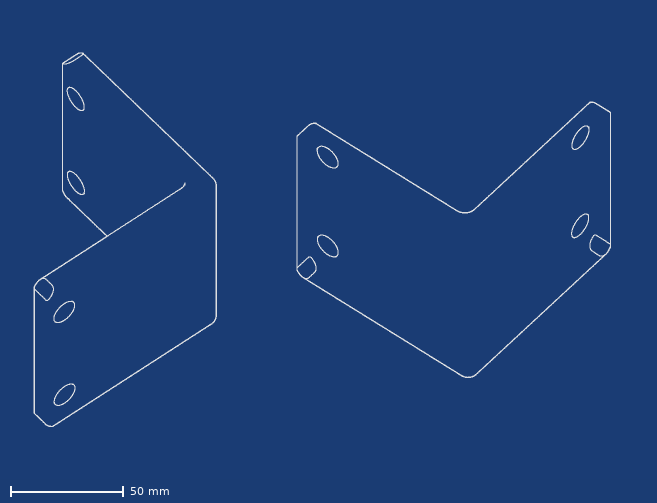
import cadquery as cq

side = 100.0
wall = 10.0
bend_radius = 5.0
rim_radius = 3.0
end_radius = 1.0
corner_cut = 5.0
hole_diameter = 12.0

x_arm_holes = [(10.2, 19.2), (10.1, 79.8)]
y_arm_holes = [(9.9, 19.6), (9.7, 79.6)]

inner_face = side - wall


def bracket_body():
    """L-shaped plate: one arm along X at the back, one along Y at the right."""
    outline = [
        (0, side),
        (side, side),
        (side, 0),
        (inner_face, 0),
        (inner_face, inner_face),
        (0, inner_face),
    ]
    body = cq.Workplane("XY").polyline(outline).close().extrude(side)
    bend_points = [(side, side), (inner_face, inner_face)]
    for x, y in bend_points:
        bend_edge = cq.selectors.NearestToPointSelector((x, y, side / 2))
        body = body.edges("|Z").edges(bend_edge).fillet(bend_radius)
    return body


def arm_cutter(profile):
    """Prism through the X arm's thickness, from a profile of (distance from end, height)."""
    return cq.Workplane("XZ", origin=(0, side, 0)).polyline(profile).close().extrude(wall)


def mirror_to_other_arm(shape):
    """Swap X and Y, which carries the X arm onto the Y arm."""
    return shape.rotate((0, 0, 0), (1, 1, 0), 180).mirror("XY")


def corner_cuts():
    """Triangular prisms at the bottom and top corners of the X arm's free end."""
    bottom = arm_cutter([(0, 0), (corner_cut, 0), (0, corner_cut)])
    top = arm_cutter([(0, side), (corner_cut, side), (0, side - corner_cut)])
    return bottom.union(top)


def arm_holes(centers):
    """Two through holes near the free end of the X arm."""
    plane = cq.Workplane("XZ", origin=(0, side, 0))
    return plane.pushPoints(centers).circle(hole_diameter / 2).extrude(wall)


def rim_edges(body):
    """Horizontal edges along both arms, without the short ones at the free ends."""
    return body.edges("#Z").edges("not(<X or <Y)")


result = bracket_body()
result = rim_edges(result).fillet(rim_radius)

result = result.cut(corner_cuts()).cut(mirror_to_other_arm(corner_cuts()))
result = result.cut(arm_holes(x_arm_holes)).cut(mirror_to_other_arm(arm_holes(y_arm_holes)))

result = result.faces("<X or <Y").edges("|Z").fillet(end_radius)